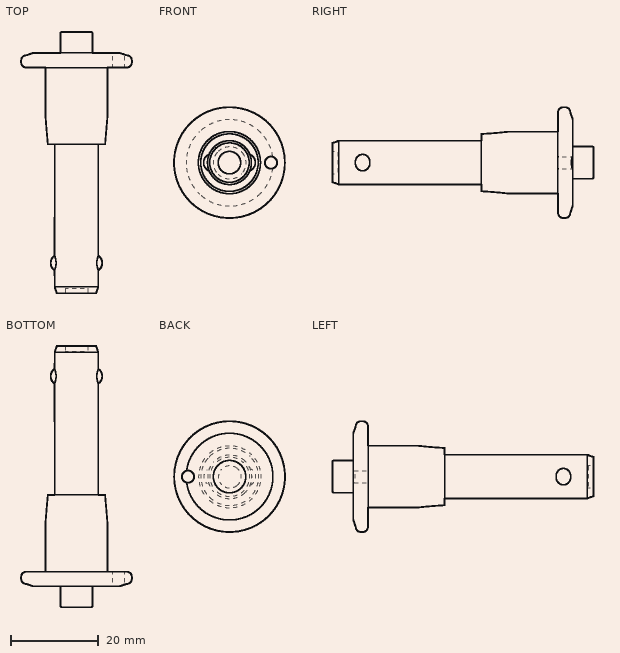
import cadquery as cq

LENGTH = 59.7
TIP_Y = -LENGTH / 2
BUTTON_END_Y = LENGTH / 2

BUTTON_RADIUS = 7.4 / 2
BUTTON_LENGTH = 4.8
BUTTON_FILLET = 0.4

FLANGE_RADIUS = 25.4 / 2
FLANGE_THICKNESS = 3.4
FLANGE_EDGE_RADIUS = 1.25
FLANGE_CROWN_RADIUS = 9.9
FLANGE_CROWN_HEIGHT = 0.55
FLANGE_HOLE_DIAMETER = 2.75
FLANGE_HOLE_X = 9.5

BODY_RADIUS = 14.2 / 2
BODY_END_RADIUS = 13.15 / 2
BODY_LENGTH = 17.5
BODY_TAPER_LENGTH = 6.3

SHANK_RADIUS = 10.0 / 2
TIP_RADIUS = 9.0 / 2
TIP_TAPER_LENGTH = 1.5
SOCKET_DIAMETER = 5.15
SOCKET_DEPTH = 1.2

BALL_RADIUS = 2.0
BALL_REACH = 5.9
BALL_FROM_TIP = 6.9

FLANGE_TOP_Y = BUTTON_END_Y - BUTTON_LENGTH
FLANGE_BOTTOM_Y = FLANGE_TOP_Y - FLANGE_THICKNESS
BODY_END_Y = FLANGE_BOTTOM_Y - BODY_LENGTH


def make_turned_pin():
    """Revolve the half profile of tip, shank, body, flange and button about Y."""
    edge_base_radius = FLANGE_RADIUS - FLANGE_EDGE_RADIUS
    lower_arc_y = FLANGE_BOTTOM_Y + FLANGE_EDGE_RADIUS
    upper_arc_end_y = FLANGE_TOP_Y - FLANGE_CROWN_HEIGHT
    upper_arc_y = upper_arc_end_y - FLANGE_EDGE_RADIUS
    profile = (
        cq.Workplane("XY")
        .moveTo(0, TIP_Y)
        .lineTo(TIP_RADIUS, TIP_Y)
        .lineTo(SHANK_RADIUS, TIP_Y + TIP_TAPER_LENGTH)
        .lineTo(SHANK_RADIUS, BODY_END_Y)
        .lineTo(BODY_END_RADIUS, BODY_END_Y)
        .lineTo(BODY_RADIUS, BODY_END_Y + BODY_TAPER_LENGTH)
        .lineTo(BODY_RADIUS, FLANGE_BOTTOM_Y)
        .lineTo(edge_base_radius, FLANGE_BOTTOM_Y)
        .radiusArc((FLANGE_RADIUS, lower_arc_y), -FLANGE_EDGE_RADIUS)
        .lineTo(FLANGE_RADIUS, upper_arc_y)
        .radiusArc((edge_base_radius, upper_arc_end_y), -FLANGE_EDGE_RADIUS)
        .lineTo(FLANGE_CROWN_RADIUS, FLANGE_TOP_Y)
        .lineTo(BUTTON_RADIUS, FLANGE_TOP_Y)
        .lineTo(BUTTON_RADIUS, BUTTON_END_Y)
        .lineTo(0, BUTTON_END_Y)
        .close()
    )
    pin = profile.revolve(360, (0, 0, 0), (0, 1, 0))
    return pin.faces(">Y").edges().fillet(BUTTON_FILLET)


def add_locking_balls(pin):
    """Add two balls standing out of opposite sides of the shank."""
    for side in (-1, 1):
        ball_x = side * (BALL_REACH - BALL_RADIUS)
        ball = cq.Workplane("XY").sphere(BALL_RADIUS)
        pin = pin.union(ball.translate((ball_x, TIP_Y + BALL_FROM_TIP, 0)))
    return pin


def make_tip_socket():
    """Blind round recess in the end of the shank."""
    tip_plane = cq.Workplane(cq.Plane((0, TIP_Y, 0), xDir=(1, 0, 0), normal=(0, 1, 0)))
    return tip_plane.circle(SOCKET_DIAMETER / 2).extrude(SOCKET_DEPTH)


def make_flange_hole():
    """Round hole right through the flange, beside the body."""
    hole_plane = cq.Workplane(
        cq.Plane((FLANGE_HOLE_X, FLANGE_BOTTOM_Y, 0), xDir=(1, 0, 0), normal=(0, 1, 0))
    )
    return hole_plane.circle(FLANGE_HOLE_DIAMETER / 2).extrude(FLANGE_THICKNESS)


result = add_locking_balls(make_turned_pin()).cut(make_tip_socket()).cut(make_flange_hole())